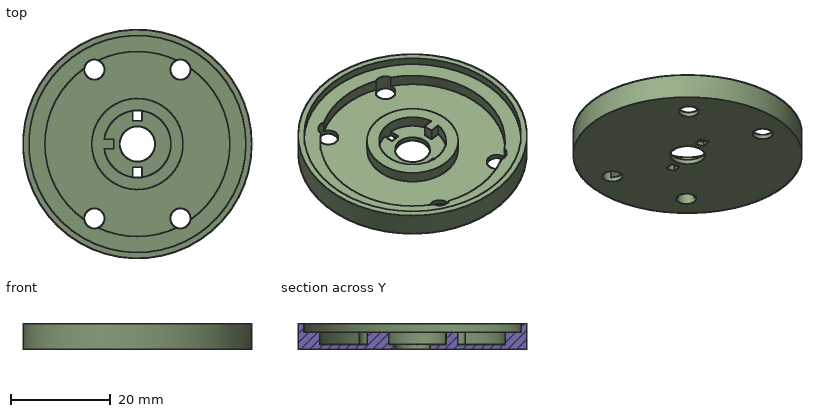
import cadquery as cq

body_diameter = 45.9
lip_diameter = 43.5
pocket_diameter = 37.1
floor_thickness = 1.0
pocket_depth = 2.5
lip_height = 1.7
ledge_height = floor_thickness + pocket_depth
body_height = ledge_height + lip_height

hub_diameter = 18.25
hub_bore_diameter = 13.45
shaft_hole_diameter = 7.0

key_width = 1.85
key_length = 2.0
bore_radius = hub_bore_diameter / 2
key_inner_radius = bore_radius - key_length
key_root_overlap = 0.45

mount_hole_diameter = 4.0
mount_spacing_x = 17.25
mount_spacing_y = 29.85


def disc(diameter, bottom, height):
    """Solid cylinder on the part axis."""
    return cq.Workplane("XY").workplane(offset=bottom).circle(diameter / 2).extrude(height)


body = disc(body_diameter, 0, body_height)
body = body.cut(disc(lip_diameter, ledge_height, lip_height))
body = body.cut(disc(pocket_diameter, floor_thickness, pocket_depth))

hub = disc(hub_diameter, floor_thickness, pocket_depth)
hub = hub.cut(disc(hub_bore_diameter, floor_thickness, pocket_depth))
body = body.union(hub)
body = body.cut(disc(shaft_hole_diameter, 0, floor_thickness))

key_reach = key_length + key_root_overlap
key = (
    cq.Workplane("XY")
    .center(-(key_inner_radius + key_reach / 2), 0)
    .rect(key_reach, key_width)
    .extrude(ledge_height)
)
body = body.union(key)

slot_center_radius = key_inner_radius + key_length / 2
slots = (
    cq.Workplane("XY")
    .pushPoints([(0, slot_center_radius), (0, -slot_center_radius)])
    .rect(key_width, key_length)
    .extrude(floor_thickness)
    .intersect(disc(hub_bore_diameter, 0, floor_thickness))
)
body = body.cut(slots)

mount_holes = (
    cq.Workplane("XY")
    .rect(mount_spacing_x, mount_spacing_y, forConstruction=True)
    .vertices()
    .circle(mount_hole_diameter / 2)
    .extrude(body_height)
)
result = body.cut(mount_holes)